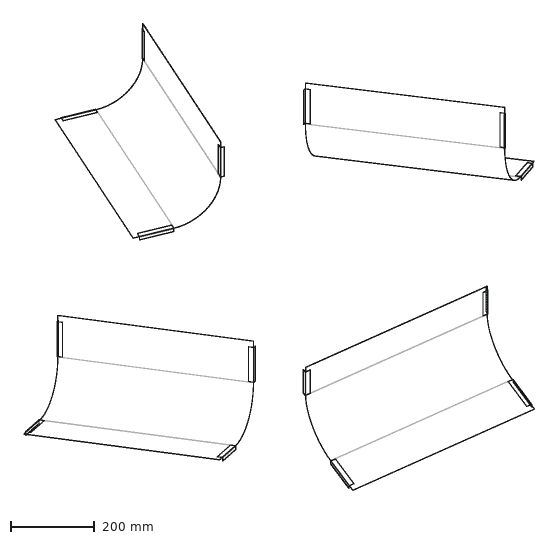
import cadquery as cq
import math

overall_length = 504.0
overall_depth = 233.5
half_depth = overall_depth / 2

arc_middle = math.sqrt(0.5)

bracket_thickness = 1.0
bracket_bend_radius = 2.0
bracket_length = 88.0
bracket_width = 14.0
bracket_height = 10.0
bracket_setback = 15.5

sheet_thickness = 1.0
panel_length = 105.5
sheet_length = overall_length - 2 * bracket_bend_radius

flange_face = half_depth - bracket_height
inner_face = flange_face + bracket_thickness
outer_face = inner_face + sheet_thickness
bend_start = half_depth - panel_length
inner_radius = inner_face + bend_start
outer_radius = inner_radius + sheet_thickness


def make_bent_sheet():
    """Sheet with a horizontal panel towards -Y and a vertical panel towards +Z."""
    return (
        cq.Workplane("YZ", origin=(-sheet_length / 2, 0, 0))
        .moveTo(-half_depth, -outer_face)
        .lineTo(-bend_start, -outer_face)
        .threePointArc(
            (-bend_start + outer_radius * arc_middle, bend_start - outer_radius * arc_middle),
            (outer_face, bend_start),
        )
        .lineTo(outer_face, half_depth)
        .lineTo(inner_face, half_depth)
        .lineTo(inner_face, bend_start)
        .threePointArc(
            (-bend_start + inner_radius * arc_middle, bend_start - inner_radius * arc_middle),
            (-bend_start, -inner_face),
        )
        .lineTo(-half_depth, -inner_face)
        .close()
        .extrude(sheet_length)
    )


def make_horizontal_bracket():
    """Bent angle bracket at the -X end of the horizontal panel, its leg pointing down."""
    end = -overall_length / 2
    front = -half_depth + bracket_setback
    inner_bend_radius = bracket_bend_radius - bracket_thickness
    bend_x = end + bracket_bend_radius
    bend_z = -flange_face - bracket_bend_radius
    return (
        cq.Workplane("XZ", origin=(0, front, 0))
        .moveTo(end, -half_depth)
        .lineTo(end, bend_z)
        .threePointArc(
            (bend_x - bracket_bend_radius * arc_middle, bend_z + bracket_bend_radius * arc_middle),
            (bend_x, -flange_face),
        )
        .lineTo(end + bracket_width, -flange_face)
        .lineTo(end + bracket_width, -inner_face)
        .lineTo(bend_x, -inner_face)
        .threePointArc(
            (bend_x - inner_bend_radius * arc_middle, bend_z + inner_bend_radius * arc_middle),
            (end + bracket_thickness, bend_z),
        )
        .lineTo(end + bracket_thickness, -half_depth)
        .close()
        .extrude(-bracket_length)
    )


def make_brackets():
    """One bracket at each end of each panel, mirrored from the first."""
    horizontal = make_horizontal_bracket().val()
    vertical = horizontal.rotate((0, 0, 0), (1, 0, 0), 90).mirror("XY")
    brackets = []
    for bracket in (horizontal, vertical):
        brackets.append(bracket)
        brackets.append(bracket.mirror("YZ"))
    return brackets


bent_sheet = make_bent_sheet()
brackets = make_brackets()

result = cq.Compound.makeCompound([bent_sheet.val(), *brackets])